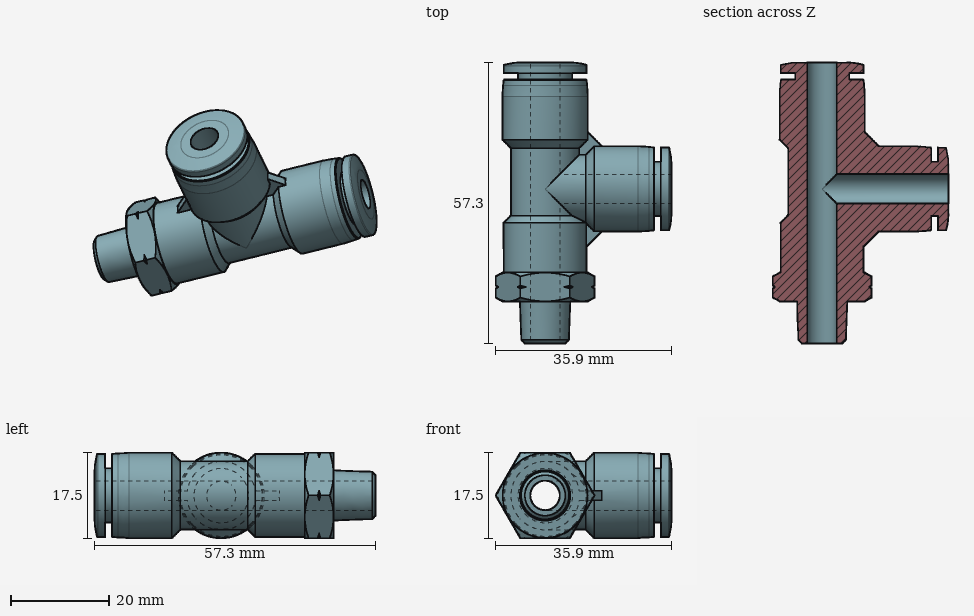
import cadquery as cq
import math

hex_flats = 17.5
neck_radius = 7.0
bore_radius = 3.0

port_radius = hex_flats / 2
port_shoulder = 10.0
taper_start = 18.85
seam_position = 21.1
seam_radius = 8.6
port_end = 22.3
port_end_radius = 8.5
port_edge_break = 0.2
collar_neck_radius = 5.55
flange_start = 23.6
flange_radius = 8.5
flange_round_start = 25.1
flange_dome_radius = 8.3
flange_dome_start = 25.3
collar_end = 25.8
collar_face_radius = 5.15

stem_radius = 8.5
stem_cone_end = 6.95

hex_start = 17.0
hex_end = 23.0
hex_face_radius = 8.65
hex_chamfer_angle = 30
groove_bottom_radius = 9.55
groove_half_angle = 30

spigot_end = 31.5
spigot_root_radius = 5.15
spigot_tip_radius = 4.85
spigot_chamfer = 0.75

gusset_reach = 20.3
gusset_thickness = 1.95

hex_corner_radius = hex_flats / math.sqrt(3)
hex_middle = (hex_start + hex_end) / 2
port_cone_length = port_radius - neck_radius
stem_cone_length = stem_radius - neck_radius


def spun(profile):
    """Close a profile drawn in the XY plane and revolve it about the Y axis."""
    return profile.close().revolve(360, (0, 0, 0), (0, 1, 0))


def turned(points):
    """Revolve straight-sided (radius, y) points about the Y axis."""
    return spun(cq.Workplane("XY").polyline(points))


def make_port():
    """Port with its release collar, growing from the tee centre along +Y."""
    profile = (
        cq.Workplane("XY")
        .polyline([
            (collar_face_radius, collar_end),
            (0, collar_end),
            (0, 0),
            (neck_radius, 0),
            (neck_radius, port_shoulder - port_cone_length),
            (port_radius, port_shoulder),
            (port_radius, taper_start),
            (seam_radius, seam_position),
            (port_end_radius, port_end - port_edge_break),
            (port_end_radius - port_edge_break, port_end),
            (collar_neck_radius, port_end),
            (collar_neck_radius, flange_start),
            (flange_radius, flange_start),
            (flange_radius, flange_round_start),
        ])
        .tangentArcPoint((flange_dome_radius, flange_dome_start), relative=False)
        .tangentArcPoint((collar_face_radius, collar_end), relative=False)
    )
    return spun(profile)


def make_stem():
    """Stem body and tapered spigot, running from the tee centre along -Y."""
    return turned([
        (0, 0),
        (neck_radius, 0),
        (neck_radius, -(stem_cone_end - stem_cone_length)),
        (stem_radius, -stem_cone_end),
        (stem_radius, -hex_start),
        (spigot_root_radius, -hex_end),
        (spigot_tip_radius, -(spigot_end - spigot_chamfer)),
        (spigot_tip_radius - spigot_chamfer, -spigot_end),
        (0, -spigot_end),
    ])


def make_hexagon():
    """Hexagon with flats facing +Z and -Z, chamfered ends and a V groove across its corners."""
    prism = (
        cq.Workplane("XZ", origin=(0, -hex_start, 0))
        .polygon(6, 2 * hex_corner_radius)
        .extrude(hex_end - hex_start)
    )
    chamfer_drop = (hex_corner_radius - hex_face_radius) * math.tan(math.radians(hex_chamfer_angle))
    groove_rise = (hex_corner_radius - groove_bottom_radius) * math.tan(math.radians(groove_half_angle))
    envelope = turned([
        (0, -hex_start),
        (hex_face_radius, -hex_start),
        (hex_corner_radius, -hex_start - chamfer_drop),
        (hex_corner_radius, -hex_middle + groove_rise),
        (groove_bottom_radius, -hex_middle),
        (hex_corner_radius, -hex_middle - groove_rise),
        (hex_corner_radius, -hex_end + chamfer_drop),
        (hex_face_radius, -hex_end),
        (0, -hex_end),
    ])
    return prism.intersect(envelope)


def make_gusset():
    """Flat web filling both corners between the run and the branch."""
    return (
        cq.Workplane("XY")
        .polyline([(0, gusset_reach), (gusset_reach, 0), (0, -gusset_reach)])
        .close()
        .extrude(gusset_thickness / 2, both=True)
    )


run_port = make_port()
branch_port = run_port.rotate((0, 0, 0), (0, 0, 1), -90)
body = run_port.union(make_stem()).union(branch_port).union(make_hexagon()).union(make_gusset())

run_bore = (
    cq.Workplane("XZ", origin=(0, collar_end, 0))
    .circle(bore_radius)
    .extrude(collar_end + spigot_end)
)
branch_bore = cq.Workplane("YZ").circle(bore_radius).extrude(collar_end)

result = body.cut(run_bore).cut(branch_bore)